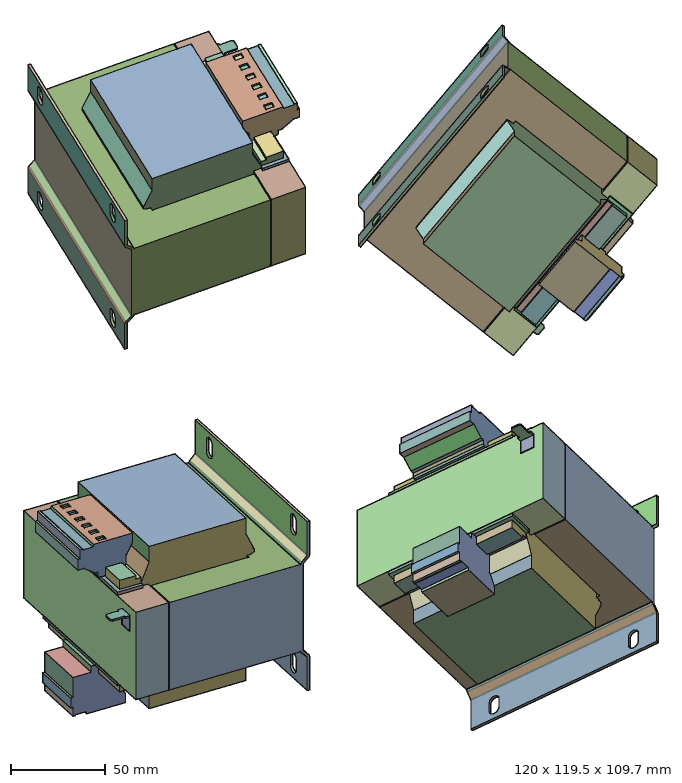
import cadquery as cq
import math


core_width = 120.0
core_height = 53.8
limb_width = core_width / 6
window_length = 59.4
joint_gap = 0.6

sheet_thickness = 1.5
bracket_height = 103.9
foot_offset = 4.0
foot_bend_z = 30.7
bend_angle = 45
inner_bend_radius = 0.6
outer_bend_radius = inner_bend_radius + sheet_thickness
slot_length = 12.2
slot_width = 6.2
slot_spacing_x = 90.0
slot_spacing_z = 85.0

core_front = foot_offset + sheet_thickness
joint_y = core_front + limb_width + window_length
yoke_front = joint_y + joint_gap
core_rear = yoke_front + limb_width
core_top = core_height / 2

winding_width = 76.1
winding_top = 49.9
winding_front = 26.3
winding_rear = 85.0
shoulder_z = 40.5
front_flare_y = 21.2
rear_flare_y = 89.8
flare_z = 29.4
front_lip_z = 27.8
front_lip_inset = 1.8
front_lip_rise = 0.2

flange_width = 4 * limb_width
flange_rear = 105.2
flange_top = 28.8
holder_rear = 102.8
holder_step_y = 92.9
holder_top = 34.3
holder_step_z = 32.3

terminal_pitch = 7.5
upper_terminals = 6
lower_terminals = 4
terminal_front = 86.3
terminal_rear = 119.5
housing_rear = 118.2
rim_front = 116.5
groove_front = 110.4
deck_rear = 109.9
terminal_foot_rear = 107.2
terminal_foot_z = 29.2
upper_deck_z = 50.5
lower_deck_z = -57.7
groove_depth = 1.5
rim_height = 0.5
upper_waist_front = 90.2
upper_waist_z = 37.9
upper_overhang_z = 44.9
upper_lip_top = 44.0
upper_lip_bottom = 37.5
upper_slope_rear = 115.9
upper_slope_front = 109.2
upper_slope_bottom = 32.6
upper_foot_z = 30.1
upper_foot_chamfer_y = 106.3
lower_waist_front = 90.8
lower_lip_top = -45.2
lower_lip_bottom = -51.4
lower_overhang_z = -52.1
lower_housing_top = -32.9
pocket_width = 3.2
pocket_length = 4.7
pocket_y = 103.5
pocket_depth = 1.2

tab_x = -49.9
tab_base_width = 8.3
tab_base_length = 3.0
tab_tongue_width = 6.2
tab_length = 11.0
tab_tip_chamfer = 0.8
tab_top = 21.8
tab_thickness = 1.1
tab_leg_bottom = 12.2
tab_leg_thickness = 0.5


def block(width, y_range, z_range, x_center=0.0):
    """Box given by its width along X and its Y and Z limits."""
    y_low, y_high = y_range
    z_low, z_high = z_range
    return (
        cq.Workplane("XY")
        .box(width, y_high - y_low, z_high - z_low)
        .translate((x_center, (y_low + y_high) / 2, (z_low + z_high) / 2))
    )


def prism(outline, width):
    """Closed (Y, Z) outline extruded along X, centred on X = 0."""
    return cq.Workplane("YZ").polyline(outline).close().extrude(width / 2, both=True)


def mirrored_outline(upper_half):
    """Close an upper-half (Y, Z) outline with its mirror image below Z = 0."""
    return upper_half + [(y, -z) for y, z in reversed(upper_half)]


def make_core():
    core_z = (-core_top, core_top)
    stack = block(core_width, (core_front, joint_y), core_z)
    yoke = block(core_width, (yoke_front, core_rear), core_z)
    window_y = (core_front + limb_width, joint_y)
    for side in (-1, 1):
        window_x = side * 1.5 * limb_width
        stack = stack.cut(block(limb_width, window_y, core_z, window_x))
    return stack, yoke


def make_bracket():
    web_bend_z = foot_bend_z - foot_offset / math.tan(math.radians(bend_angle))
    bend_shift = sheet_thickness * math.tan(math.radians(bend_angle / 2))
    foot_end = bracket_height / 2
    rear_path = [
        (core_front, web_bend_z + bend_shift),
        (sheet_thickness, foot_bend_z + bend_shift),
        (sheet_thickness, foot_end),
    ]
    front_path = [(0, foot_end), (0, foot_bend_z), (foot_offset, web_bend_z)]
    sheet = prism(mirrored_outline(rear_path + front_path), core_width)

    outer_corners = [front_path[1], rear_path[0]]
    inner_corners = [front_path[2], rear_path[1]]
    for corners, radius in ((outer_corners, outer_bend_radius), (inner_corners, inner_bend_radius)):
        for y, z in mirrored_outline(corners):
            edge = cq.selectors.NearestToPointSelector((0, y, z))
            sheet = sheet.edges("|X").edges(edge).fillet(radius)

    slots = (
        cq.Workplane("XZ")
        .rarray(slot_spacing_x, slot_spacing_z, 2, 2)
        .slot2D(slot_length, slot_width, 90)
        .extrude(-sheet_thickness)
    )
    return sheet.cut(slots)


def make_winding():
    upper_half = [
        (front_flare_y + front_lip_inset, core_top),
        (front_flare_y + front_lip_inset, core_top + front_lip_rise),
        (front_flare_y, front_lip_z),
        (front_flare_y, flare_z),
        (winding_front, shoulder_z),
        (winding_front, winding_top),
        (winding_rear, winding_top),
        (winding_rear, shoulder_z),
        (rear_flare_y, flare_z),
    ]
    return prism(mirrored_outline(upper_half), winding_width)


def make_flange():
    """Upper flange plate with the stepped holder that carries a terminal block."""
    plate = block(flange_width, (rear_flare_y, flange_rear), (core_top, flange_top))
    holder = block(winding_width, (holder_step_y, holder_rear), (flange_top, holder_top))
    step = block(winding_width, (rear_flare_y, holder_step_y), (flange_top, holder_step_z))
    return plate.union(holder).union(step)


def deck_outline(deck_z, outward):
    """Grooved outer deck, front to rear; outward is +1 facing up, -1 facing down."""
    groove_z = deck_z - outward * groove_depth
    rim_z = groove_z + outward * rim_height
    return [
        (terminal_front, deck_z),
        (deck_rear, deck_z),
        (groove_front, groove_z),
        (rim_front, groove_z),
        (rim_front, rim_z),
        (housing_rear, rim_z),
    ]


def make_upper_terminals():
    outline = deck_outline(upper_deck_z, 1) + [
        (housing_rear, upper_lip_top),
        (terminal_rear, upper_lip_top),
        (terminal_rear, upper_lip_bottom),
        (upper_slope_rear, upper_lip_bottom),
        (upper_slope_front, upper_slope_bottom),
        (terminal_foot_rear, upper_slope_bottom),
        (terminal_foot_rear, upper_foot_z),
        (upper_foot_chamfer_y, terminal_foot_z),
        (holder_rear, terminal_foot_z),
        (holder_rear, flange_top),
        (upper_waist_front, flange_top),
        (upper_waist_front, upper_waist_z),
        (terminal_front, upper_overhang_z),
    ]
    terminals = prism(outline, upper_terminals * terminal_pitch)
    pockets = (
        cq.Workplane("XY", origin=(0, pocket_y, upper_deck_z))
        .rarray(terminal_pitch, 1.2, upper_terminals, 1)
        .rect(pocket_width, pocket_length)
        .extrude(-pocket_depth)
    )
    return terminals.cut(pockets)


def make_lower_terminals():
    outline = deck_outline(lower_deck_z, -1) + [
        (housing_rear, lower_lip_bottom),
        (terminal_rear, lower_lip_bottom),
        (terminal_rear, lower_lip_top),
        (housing_rear, lower_lip_top),
        (housing_rear, lower_housing_top),
        (terminal_foot_rear, lower_housing_top),
        (terminal_foot_rear, -terminal_foot_z),
        (holder_rear, -terminal_foot_z),
        (holder_rear, -flange_top),
        (lower_waist_front, -flange_top),
        (lower_waist_front, lower_lip_top),
        (terminal_front, lower_overhang_z),
    ]
    return prism(outline, lower_terminals * terminal_pitch)


def make_earthing_tab():
    tab_z = (tab_top - tab_thickness, tab_top)
    tongue = block(tab_tongue_width, (core_rear, core_rear + tab_length), tab_z, tab_x)
    tongue = tongue.faces(">Y").edges("|Z").chamfer(tab_tip_chamfer)
    base = block(tab_base_width, (core_rear, core_rear + tab_base_length), tab_z, tab_x)
    leg_y = (core_rear, core_rear + tab_leg_thickness)
    leg = block(tab_base_width, leg_y, (tab_leg_bottom, tab_top), tab_x)
    return tongue.union(base).union(leg)


core_stack, core_yoke = make_core()
upper_flange = make_flange()
result = (
    core_stack
    .union(make_winding())
    .union(core_yoke)
    .union(make_bracket())
    .union(upper_flange)
    .union(upper_flange.mirror("XY"))
    .union(make_upper_terminals())
    .union(make_lower_terminals())
    .union(make_earthing_tab())
)